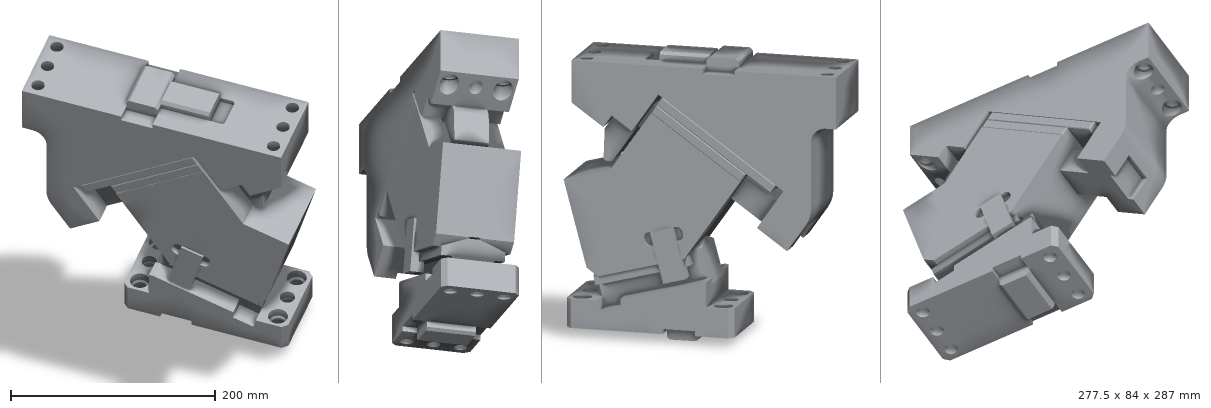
import cadquery as cq
import math


body_width = 80.0
far = 574.0

front = cq.Plane(origin=(0, 0, 0), xDir=(1, 0, 0), normal=(0, -1, 0))

ramp_angle = 35.0
ramp_x, ramp_z = 53.7, 151.8
ramp_cos = math.cos(math.radians(ramp_angle))
ramp_sin = math.sin(math.radians(ramp_angle))
ramp = cq.Plane(origin=(ramp_x, 0, ramp_z), xDir=(ramp_cos, 0, ramp_sin), normal=(0, -1, 0))

rail_angle = 15.0
rail_x, rail_z = 136.3, 55.0
rail_cos = math.cos(math.radians(rail_angle))
rail_sin = math.sin(math.radians(rail_angle))
rail = cq.Plane(origin=(rail_x, 0, rail_z), xDir=(rail_cos, 0, -rail_sin), normal=(0, -1, 0))

slot_length = 155.5
slot_depth = 47.0
plate_chamfer = 1.0
slider_u0, slider_u1 = 40.0, 150.5
bar_width = 35.5
bar_top = 20.0
plate_thickness = bar_top / 2
holder_plate_u0 = 9.5

hole_diameter = 13.2
hole_spacing = 27.5
counterbore_diameter = 19.5
counterbore_depth = 9.0
base_dowel_diameter = 15.0

key_length = 50.5
key_width = 32.7
key_height = 13.8
keyway_depth = 5.2
key_chamfer = 3.0

holder_length = 269.5
holder_top = 269.8
flange_height = 52.0
right_flange_v = -62.0
leg_x = 25.5
leg_fillet = 15.0
knee_fillet = 30.0
foot_thickness = 37.3
notch_u = 180.5
holder_hole_inset = 12.3
cross_key_x = 103.3
long_key_end = 186.3
long_slot_end = 201.8
long_slot_fillet = 3.5

hook_knee_v = -70.3
hook_tip_u, hook_tip_v = 164.0, -96.1
hook_round = 7.0

slider_q0, slider_q1 = 26.0, 127.5
slider_end_p = 112.0
slider_corner_p, slider_corner_q = 9.2, 11.0
relief_width = 11.2
relief_q = 37.5
channel_width = 67.7
bar_u0 = -30.0

rail_p0, rail_p1 = -2.3, 110.0
stem_width = 43.0
roof_flat_width = 12.5
roof_top_q = 36.0
wing_width = 65.5
wing_top_q = 26.0
wing_base_q = 17.0
wing_p0 = 10.0

claw_p0, claw_p1 = 15.2, 38.7
claw_q0, claw_q1 = 6.3, 59.0
claw_outer_y = 84.0 / 2
claw_inner_y = 34.2
hook_inner_y = 28.5
window_p0, window_p1 = 6.5, 47.0
window_height = 14.4
window_fillet = 6.3

base_x0, base_x1 = 104.8, 275.2
base_height = 29.5
base_corner = 5.2
step_x = 132.3
pocket_x = 219.5
pocket_q = -7.2
base_hole_inset = 13.5
base_keyway_x = 143.8


def ramp_point(u, v):
    """X and Z of a point given in the ramp frame."""
    return ramp_x + u * ramp_cos - v * ramp_sin, ramp_z + u * ramp_sin + v * ramp_cos


def rail_point(p, q):
    """X and Z of a point given in the rail frame."""
    return rail_x + p * rail_cos + q * rail_sin, rail_z - p * rail_sin + q * rail_cos


def ramp_meets_rail(u, q):
    """X and Z where a line of constant u crosses a line of constant q."""
    x, z = ramp_point(u, 0)
    q_here = (x - rail_x) * rail_sin + (z - rail_z) * rail_cos
    return ramp_point(u, (q - q_here) / math.cos(math.radians(ramp_angle + rail_angle)))


def across(plane, width):
    """Workplane on one side of a strip of this width, for extruding through it."""
    return cq.Workplane(plane).workplane(offset=-width / 2)


def box(plane, a0, a1, b0, b1, width):
    """Box between two pairs of limits in a plane, centred on the middle plane."""
    return across(plane, width).center((a0 + a1) / 2, (b0 + b1) / 2).rect(a1 - a0, b1 - b0).extrude(width)


def prism(plane, points, width):
    """Outline in a plane, extruded evenly about the middle plane."""
    return across(plane, width).polyline(points).close().extrude(width)


def round_edge(body, corner, radius):
    """Fillet the edge that runs along Y through this X and Z."""
    x, z = corner
    return body.edges(cq.NearestToPointSelector((x, 0, z))).fillet(radius)


def wear_plate(u0, v_top):
    """Plate along the ramp with its two outer rims chamfered."""
    plate = box(ramp, u0, slider_u1, v_top - plate_thickness, v_top, body_width)
    return plate.faces("<Y or >Y").edges().chamfer(plate_chamfer)


def bolt_holes(x, z_floor, z_open, middle_diameter):
    """Three holes across the part, counterbored from z_floor to beyond z_open.

    The middle counterbore has its own diameter.
    """
    def cylinders(z, height, diameter, spots):
        return cq.Workplane("XY", origin=(x, 0, z)).pushPoints(spots).circle(diameter / 2).extrude(height)

    middle = [(0, 0)]
    outer = [(0, -hole_spacing), (0, hole_spacing)]
    reach = z_open - z_floor
    holes = cylinders(-far / 2, far, hole_diameter, middle + outer)
    holes = holes.union(cylinders(z_floor, reach, counterbore_diameter, outer))
    return holes.union(cylinders(z_floor, reach, middle_diameter, middle))


def leg_knee():
    """X and Z where the upright leg meets the slanted outer face of the foot."""
    v = (ramp_x - foot_thickness * ramp_cos - leg_x) / ramp_sin
    return ramp_point(-foot_thickness, v)


def holder_outline():
    flange_z = holder_top - flange_height
    u_end = (holder_length - ramp_x + right_flange_v * ramp_sin) / ramp_cos
    return [
        (0, holder_top),
        (holder_length, holder_top),
        ramp_point(u_end, right_flange_v),
        ramp_point(notch_u, right_flange_v),
        ramp_point(notch_u, -slot_depth),
        ramp_point(slot_length, -slot_depth),
        ramp_point(slot_length, 0),
        ramp_point(0, 0),
        ramp_point(0, -slot_depth),
        ramp_point(-foot_thickness, -slot_depth),
        leg_knee(),
        (leg_x, flange_z),
        (0, flange_z),
    ]


def make_holder():
    body = prism(front, holder_outline(), body_width)
    body = round_edge(body, leg_knee(), knee_fillet)
    body = round_edge(body, (leg_x, holder_top - flange_height), leg_fillet)

    body = body.cut(box(ramp, -far, 0, -slot_depth, -bar_top, bar_width))

    floor = holder_top - flange_height + counterbore_depth
    for x in (holder_hole_inset, holder_length - holder_hole_inset):
        body = body.cut(bolt_holes(x, floor, base_height, hole_diameter))

    key_floor = holder_top - keyway_depth
    key_end = cross_key_x + key_width
    body = body.cut(box(front, cross_key_x, key_end, key_floor, far, body_width))
    long_slot = box(front, cross_key_x, long_slot_end, key_floor, far, key_width)
    body = body.cut(long_slot.edges("|Z and >X").fillet(long_slot_fillet))

    key_top = key_floor + key_height
    cross_key = box(front, cross_key_x, key_end, key_floor, key_top, key_length)
    cross_key = cross_key.faces(">Z").edges("|Y").chamfer(key_chamfer)
    long_key = box(front, key_end, long_key_end, key_floor, key_top, key_width)
    long_key = long_key.faces(">Z").edges("|X").chamfer(key_chamfer)

    return body.union(wear_plate(holder_plate_u0, 0)).union(stop_hook()).union(cross_key).union(long_key)


def stop_hook():
    """Hook hanging in the notch at the upper end of the ramp."""
    hook = prism(
        ramp,
        [
            (slot_length, -slot_depth),
            (notch_u, -slot_depth),
            (notch_u, hook_knee_v),
            (hook_tip_u, hook_tip_v),
            (slot_length, hook_tip_v),
        ],
        bar_width,
    )
    return round_edge(hook, ramp_point(slot_length, hook_tip_v), hook_round)


def rail_section(p0, p1, width, q_base):
    """Bar along the rail with a flat-topped gable roof; q_base is its underside."""
    slope = (roof_top_q - wing_top_q) / (wing_width - roof_flat_width)
    edge_q = roof_top_q - slope * (width - roof_flat_width)
    plane = cq.Plane(
        origin=rail.toWorldCoords((p0, 0, 0)).toTuple(), xDir=(0, 1, 0), normal=(rail_cos, 0, -rail_sin)
    )
    points = [
        (-width / 2, q_base),
        (-width / 2, edge_q),
        (-roof_flat_width / 2, roof_top_q),
        (roof_flat_width / 2, roof_top_q),
        (width / 2, edge_q),
        (width / 2, q_base),
    ]
    return cq.Workplane(plane).polyline(points).close().extrude(p1 - p0)


def make_claw(side):
    """Claw on one side (+1 or -1) whose foot hooks under a rail wing."""
    def slab(q0, q1, inner_y):
        depth = claw_outer_y - inner_y
        middle_y = side * (claw_outer_y + inner_y) / 2
        return box(rail, claw_p0, claw_p1, q0, q1, depth).translate((0, middle_y, 0))

    return slab(claw_q0, claw_q1, claw_inner_y).union(slab(claw_q0, wing_base_q, hook_inner_y))


def make_slider():
    body = prism(
        front,
        [
            ramp_point(slider_u0, -bar_top),
            ramp_meets_rail(slider_u0, slider_q0),
            rail_point(slider_end_p - slider_corner_p, slider_q0),
            rail_point(slider_end_p, slider_q0 + slider_corner_q),
            rail_point(slider_end_p, slider_q1),
            ramp_meets_rail(slider_u1, slider_q1),
            ramp_point(slider_u1, -bar_top),
        ],
        body_width,
    )

    body = body.cut(rail_section(-far, far, channel_width, -far))
    body = body.cut(box(rail, -far, far, -far, relief_q, relief_width))

    window = box(rail, window_p0, window_p1, claw_q1 - window_height, claw_q1, far)
    window = window.edges("|Y").fillet(window_fillet)
    body = body.cut(window.cut(box(front, -far, far, -far, far, 2 * claw_inner_y)))
    for side in (-1, 1):
        body = body.union(make_claw(side))

    bar = box(ramp, bar_u0, slot_length, -slot_depth, -bar_top, bar_width)
    return body.union(bar).union(wear_plate(slider_u0, -plate_thickness))


def make_driver():
    base = box(front, base_x0, base_x1, 0, base_height, body_width)
    base = base.edges("|Z").chamfer(base_corner)

    ledge_x, ledge_z = rail_point(rail_p1, 0)
    block = [(step_x, 0), (step_x, rail_z), (rail_x, rail_z), (ledge_x, ledge_z), (ledge_x, 0)]
    base = base.union(prism(front, block, body_width))
    base = base.cut(box(rail, 0, rail_p1, 0, far, body_width))
    pocket = box(rail, 0, rail_p1, pocket_q, far, body_width)
    base = base.cut(pocket.intersect(box(front, pocket_x, far, 0, far, body_width)))

    relief = box(rail, -far, rail_p0, -far, far, stem_width)
    base = base.cut(relief.intersect(box(front, step_x, far, 0, far, stem_width)))

    floor = base_height - counterbore_depth
    for x in (base_x0 + base_hole_inset, base_x1 - base_hole_inset):
        base = base.cut(bolt_holes(x, floor, holder_top, base_dowel_diameter))

    stem = rail_section(rail_p0, rail_p1, stem_width, pocket_q)
    wings = rail_section(wing_p0, rail_p1, wing_width, wing_base_q)

    key_end = base_keyway_x + key_width
    base = base.cut(box(front, base_keyway_x, key_end, -far, keyway_depth, body_width))
    key = box(front, base_keyway_x, key_end, keyway_depth - key_height, keyway_depth, key_length)
    key = key.faces("<Z").edges("|Y").chamfer(key_chamfer)
    return base.union(stem).union(wings).union(key)


holder = make_holder()
slider = make_slider()
driver = make_driver()

result = cq.Compound.makeCompound([holder.val(), slider.val(), driver.val()])